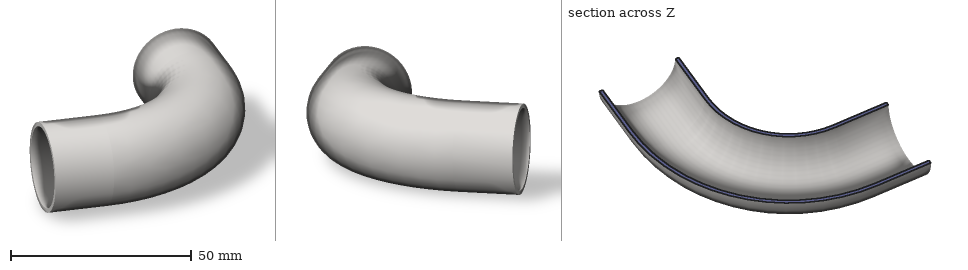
import cadquery as cq
import math

overall_length = 67.7
outer_diameter = 25.4
inner_diameter = 23.0
straight_length = 16.9

bend_radius = overall_length - straight_length - outer_diameter / 2


def elbow_rod(diameter):
    """Solid round rod: straight along +X, quarter bend, straight along -Y."""
    diagonal = bend_radius * math.cos(math.radians(45))
    centreline = (
        cq.Workplane("XY")
        .moveTo(-straight_length, bend_radius)
        .lineTo(0, bend_radius)
        .threePointArc((diagonal, diagonal), (bend_radius, 0))
        .lineTo(bend_radius, -straight_length)
    )
    start_plane = cq.Workplane("YZ", origin=(-straight_length, bend_radius, 0))
    return start_plane.circle(diameter / 2).sweep(centreline)


result = elbow_rod(outer_diameter).cut(elbow_rod(inner_diameter))